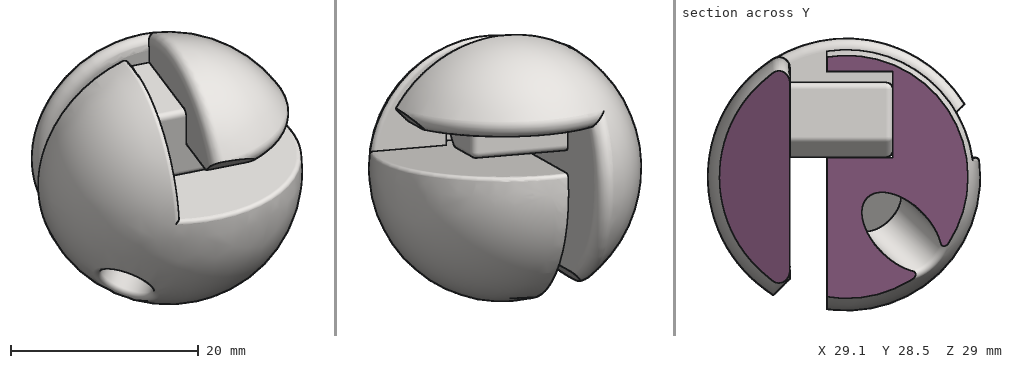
import cadquery as cq
import math

KEYED_R = 14.83
SOCKET_R = 14.25
GAP = 3.92
SPACE = 34.88

SOCKET_X = -2.1
SOCKET_FLOOR = 2.1
SOCKET_WALL = -3.8
SOCKET_ROUND = 0.5
POCKET_Y = -5.9
POCKET_TOP = 11.22

BORE_DIRECTION = cq.Vector(1, -1, -1)
BORE_R = 6.0 / 2
BORE_ROUND = 0.58
BORE_FLOOR = 5.8

KEYED_X = SOCKET_X - GAP
KEYED_Z = SOCKET_FLOOR + GAP
KEYED_Y = SOCKET_WALL + GAP
KEYED_ROUND = 1.2
TRIM_OFFSET = 4.8

TONGUE_FRONT = SOCKET_WALL
TONGUE_BACK = -TONGUE_FRONT
TONGUE_END = 4.9
TONGUE_TOP = 10.05
TONGUE_ROOT = -8.72
TONGUE_BEVEL = 1.85
TONGUE_ROUND = 0.7


def box_between(x_range, y_range, z_range):
    """Axis-aligned box given by its two limits along each axis."""
    size = [high - low for low, high in (x_range, y_range, z_range)]
    corner = (x_range[0], y_range[0], z_range[0])
    return cq.Workplane().box(*size, centered=False).translate(corner)


def axial_plane(axis):
    """Sketch plane through the origin: local Y along the axis, local X across it."""
    axis = axis.normalized()
    helper = cq.Vector(0, 1, 0) if abs(axis.y) < 0.5 else cq.Vector(0, 0, 1)
    across = helper.cross(axis)
    return cq.Plane(origin=(0, 0, 0), xDir=across, normal=across.cross(axis))


def polar_point(center, radius, angle):
    """Point on a circle in a sketch plane."""
    return (center[0] + radius * math.cos(angle), center[1] + radius * math.sin(angle))


def ball(radius):
    """Full ball centred on the origin, with its poles on the Y axis."""
    return cq.Workplane("XZ").sphere(radius)


def cap_envelope(axis, offset, ball_r, round_r):
    """Envelope that keeps the part of a ball beyond a plane and rounds its rim.

    The flat runs into a rounding tangent to the plane and to the ball; outside the
    ball the envelope flares radially.
    """
    center_y = offset + round_r
    center_x = math.sqrt((ball_r - round_r) ** 2 - center_y ** 2)
    rim_angle = math.atan2(center_y, center_x)
    round_middle = polar_point((center_x, center_y), round_r, (rim_angle - math.pi / 2) / 2)
    flare_end = polar_point((0, 0), SPACE, rim_angle)
    return (
        cq.Workplane(axial_plane(axis))
        .moveTo(0, offset)
        .lineTo(center_x, offset)
        .threePointArc(round_middle, polar_point((0, 0), ball_r, rim_angle))
        .lineTo(*flare_end)
        .lineTo(flare_end[0], SPACE)
        .lineTo(0, SPACE)
        .close()
        .revolve(360, (0, 0), (0, 1))
    )


def bore_cutter():
    """Blind bore that flares out to the ball surface with a rounded rim."""
    center_x = BORE_R + BORE_ROUND
    center_y = math.sqrt((SOCKET_R - BORE_ROUND) ** 2 - center_x ** 2)
    rim_angle = math.atan2(center_y, center_x)
    round_middle = polar_point((center_x, center_y), BORE_ROUND, (rim_angle + math.pi) / 2)
    rim = polar_point((0, 0), SOCKET_R, rim_angle)
    return (
        cq.Workplane(axial_plane(BORE_DIRECTION))
        .moveTo(0, BORE_FLOOR)
        .lineTo(BORE_R, BORE_FLOOR)
        .lineTo(BORE_R, center_y)
        .threePointArc(round_middle, rim)
        .lineTo(rim[0], SPACE / 2)
        .lineTo(0, SPACE / 2)
        .close()
        .revolve(360, (0, 0), (0, 1))
    )


def make_socket():
    """Ball with an open step, an undercut in the step wall and a diagonal bore."""
    lower = cap_envelope(cq.Vector(0, 0, -1), -SOCKET_FLOOR, SOCKET_R, SOCKET_ROUND)
    front = cap_envelope(cq.Vector(0, -1, 0), -SOCKET_WALL, SOCKET_R, SOCKET_ROUND)
    beyond_x = box_between((SOCKET_X, SPACE), (-SPACE, SPACE), (-SPACE, SPACE))
    undercut = box_between((SOCKET_X, TONGUE_END), (POCKET_Y, SOCKET_WALL), (SOCKET_FLOOR, POCKET_TOP))
    stepped = ball(SOCKET_R).intersect(lower.union(front))
    return stepped.intersect(beyond_x).cut(undercut).cut(bore_cutter())


def make_tongue():
    """Straight tongue along X with a bevelled lower front edge and rounded edges."""
    length = TONGUE_END - TONGUE_ROOT
    return (
        cq.Workplane("YZ", origin=(TONGUE_ROOT, 0, 0))
        .moveTo(TONGUE_BACK, SOCKET_FLOOR)
        .lineTo(TONGUE_BACK, TONGUE_TOP)
        .lineTo(TONGUE_FRONT, TONGUE_TOP)
        .lineTo(TONGUE_FRONT, SOCKET_FLOOR + TONGUE_BEVEL)
        .lineTo(TONGUE_FRONT + TONGUE_BEVEL, SOCKET_FLOOR)
        .close()
        .extrude(length)
        .edges("|X or >X")
        .fillet(TONGUE_ROUND)
    )


def trim_space():
    """Half-space x - z < TRIM_OFFSET, as a slab along Y."""
    return (
        cq.Workplane("XZ")
        .moveTo(TRIM_OFFSET - SPACE, -SPACE)
        .lineTo(TRIM_OFFSET + SPACE, SPACE)
        .lineTo(TRIM_OFFSET - SPACE, SPACE)
        .close()
        .extrude(SPACE / 2, both=True)
    )


def make_keyed():
    """Side cap joined to an upper wedge, with the tongue between them."""
    side = cap_envelope(cq.Vector(-1, 0, 0), -KEYED_X, KEYED_R, KEYED_ROUND)
    upper = cap_envelope(cq.Vector(0, 0, 1), KEYED_Z, KEYED_R, KEYED_ROUND)
    rear = cap_envelope(cq.Vector(0, 1, 0), KEYED_Y, KEYED_R, KEYED_ROUND)
    wedge = upper.intersect(rear)
    rounded = ball(KEYED_R).intersect(side.union(wedge))
    return rounded.union(make_tongue()).intersect(trim_space())


socket = make_socket()
keyed = make_keyed()

result = cq.Compound.makeCompound([socket.solids().val(), keyed.solids().val()])